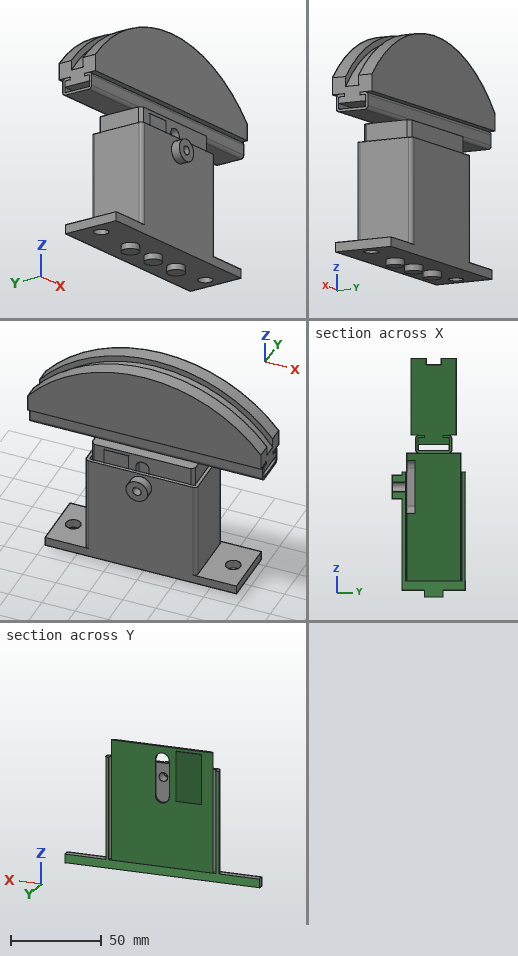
import cadquery as cq
import math

base_thickness = 5.3
tube_top = 65.4
slider_top = 75.7
channel_height = 10.0
channel_top = slider_top + channel_height
peg_length = 3.6
overall_height = 131.7
shoe_top = overall_height - peg_length

base_length = 115.0
housing_depth = 35.0
mount_hole_diameter = 8.5
mount_hole_spacing = 96.0
tube_length = 67.0
tube_wall = 2.0
tube_corner_radius = 2.1
tube_inner_radius = 0.8
peg_diameter = 10.4
peg_pitch = 21.0
peg_positions = [-peg_pitch, 0, peg_pitch]
overall_depth = 40.5
boss_length = overall_depth - housing_depth
boss_diameter = 13.0
boss_bore = 5.0
boss_height = 57.1

slider_length = 62.0
slider_depth = 30.0
slider_chamfer = 2.0
slot_width = 8.0
slot_top = 71.7
slot_length = 2 * (slot_top - boss_height)
slot_depth = 4.6
pocket_left = -23.1
pocket_width = 14.7
pocket_top = 73.8
pocket_length = slot_length
pocket_depth = slot_depth

key_top_gap = 0.07

shoe_length = 140.0
channel_width = 20.0
channel_wall = 1.5
channel_outer_radius = 2.0
channel_inner_radius = channel_outer_radius - channel_wall
neck_width = 10.0
foot_width = channel_width - 2 * channel_wall
foot_bottom = 80.5
shoe_depth = 25.0
shoe_radius = 91.0
groove_width = 8.1
groove_depth = 3.5


def upright_box(length, depth, bottom, top):
    return cq.Workplane("XY", origin=(0, 0, bottom)).rect(length, depth).extrude(top - bottom)


def make_housing():
    base = upright_box(base_length, housing_depth, 0, base_thickness)
    base = base.faces(">Z").workplane().rarray(mount_hole_spacing, 1.4, 2, 1).hole(mount_hole_diameter)
    tube = upright_box(tube_length, housing_depth, base_thickness, tube_top)
    tube = tube.edges("|Z").fillet(tube_corner_radius)
    cavity = upright_box(
        tube_length - 2 * tube_wall, housing_depth - 2 * tube_wall, base_thickness, tube_top
    ).edges("|Z").fillet(tube_inner_radius)
    pegs = (
        cq.Workplane("XY").pushPoints([(x, 0) for x in peg_positions])
        .circle(peg_diameter / 2).extrude(-peg_length)
    )
    front_face = cq.Workplane("XZ", origin=(0, -housing_depth / 2, boss_height))
    boss = front_face.circle(boss_diameter / 2).extrude(boss_length)
    bore = front_face.workplane(offset=-tube_wall).circle(boss_bore / 2).extrude(tube_wall + boss_length)
    return base.union(tube).cut(cavity).union(pegs).union(boss).cut(bore)


def pocket_block(top):
    """Rectangular block on the floor and back of the key pocket, reaching up to the given level."""
    bottom = pocket_top - pocket_length
    return (
        cq.Workplane("XY", origin=(pocket_left, -slider_depth / 2, bottom))
        .box(pocket_width, pocket_depth, top - bottom, centered=False)
    )


def make_slider():
    block = upright_box(slider_length, slider_depth, base_thickness, slider_top)
    block = block.edges("|Z").chamfer(slider_chamfer)
    slot = (
        cq.Workplane("XZ", origin=(0, -slider_depth / 2, boss_height))
        .slot2D(slot_length, slot_width, 90).extrude(-slot_depth)
    )
    return block.cut(slot).cut(pocket_block(pocket_top))


def make_key():
    return pocket_block(pocket_top - key_top_gap)


def make_channel():
    channel_center = (0, 0, (slider_top + channel_top) / 2)
    profile = cq.Workplane("YZ", origin=channel_center)
    outer = (
        profile.rect(channel_width, channel_height).extrude(shoe_length / 2, both=True)
        .edges("|X").fillet(channel_outer_radius)
    )
    inner = (
        profile.rect(foot_width, channel_height - 2 * channel_wall).extrude(shoe_length / 2, both=True)
        .edges("|X").fillet(channel_inner_radius)
    )
    mouth = upright_box(shoe_length, neck_width, channel_top - channel_wall, channel_top)
    return outer.cut(inner).cut(mouth)


def arched_plate(radius, top, depth):
    """Plate standing on the channel, with an arched upper edge of the given radius and crown level."""
    end_height = top - radius + math.sqrt(radius**2 - (shoe_length / 2) ** 2)
    return (
        cq.Workplane("XZ")
        .moveTo(-shoe_length / 2, channel_top)
        .lineTo(-shoe_length / 2, end_height)
        .threePointArc((0, top), (shoe_length / 2, end_height))
        .lineTo(shoe_length / 2, channel_top)
        .close().extrude(depth / 2, both=True)
    )


def make_shoe():
    cheek_depth = (shoe_depth - groove_width) / 2
    cheek = arched_plate(shoe_radius, shoe_top, cheek_depth)
    core = arched_plate(shoe_radius - groove_depth, shoe_top - groove_depth, groove_width)
    cheek_offset = (groove_width + cheek_depth) / 2
    shoe = core.union(cheek.translate((0, cheek_offset, 0))).union(cheek.translate((0, -cheek_offset, 0)))
    neck = upright_box(shoe_length, neck_width, foot_bottom, channel_top)
    foot = upright_box(shoe_length, foot_width, foot_bottom, channel_top - channel_wall)
    foot = foot.edges("|X and >Z").fillet(channel_inner_radius)
    return shoe.union(neck).union(foot)


housing = make_housing()
slider = make_slider()
key = make_key()
channel = make_channel()
shoe = make_shoe()
result = cq.Compound.makeCompound([housing.val(), slider.val(), key.val(), channel.val(), shoe.val()])